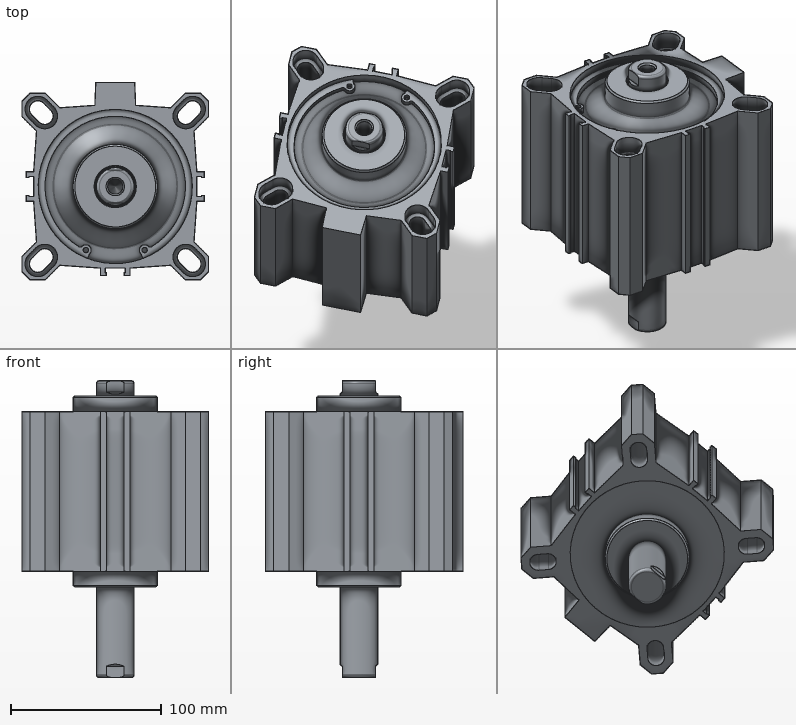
import cadquery as cq
import math


body_height = 106.0
body_width = 124.0
length_with_port = 131.0
corner_reach = body_width / 2
corner_chamfer_start = 56.5
post_inner_edge = 46.5
post_root_along = 36.8
post_root_out = corner_reach - (post_inner_edge - post_root_along)
wall_out = 54.2
bore_dia = 102.2
root_overlap = 2.0

rail_outer = 9.8
rail_inner = 6.5
hook_inner = 6.0
rail_out = 59.1
hook_depth = 2.0
rail_sides = (90, 180, 270)

port_out = length_with_port - corner_reach
port_tip_half = 13.0
port_root_half = 13.5

slot_offset = 49.0
slot_width = 11.0
slot_spacing = 6.5
counterbore_width = 17.0
counterbore_depth = 11.0

ring_depth = 5.0
ring_thickness = 4.0
ring_inner_dia = 93.2
gap_half_angle = 21.0
ear_radius = 3.5
ear_hole_dia = 3.5
ear_hole_x = 19.5
ear_hole_y = -42.2
ear_blend_radius = 1.5

flange_thickness = 19.7
boss_dia = 56.0
boss_height = 10.5
boss_chamfer = 1.2
top_flange_z = body_height - ring_depth - ring_thickness
cone_base_dia = 82.1
cone_top_drop = 1.8
cone_fillet = 1.0
recess_dia = 27.0
recess_mouth_dia = 28.0
recess_depth = 3.0
rod_hole_dia = 25.6
edge_margin = 0.2

rod_dia = 25.0
rod_top_reach = 10.0
rod_bottom_reach = 60.0
rod_fillet = 2.0
flat_distance = 22.0
flat_length = 7.5
thread_hole_dia = 10.0
thread_mouth_dia = 12.2
thread_hole_depth = 19.7
drill_tip_angle = 118.0

rod_top_z = body_height + boss_height + rod_top_reach
rod_bottom_z = -boss_height - rod_bottom_reach


def revolve_profile(points):
    """Solid of revolution about Z from (radius, z) points."""
    return cq.Workplane("XZ").polyline(points).close().revolve(360, (0, 0, 0), (0, 1, 0))


def cylinder(diameter, bottom_z, height):
    return cq.Workplane("XY").workplane(offset=bottom_z).circle(diameter / 2).extrude(height)


def body_outline():
    """Four sides, each running from one corner post to the next, as a closed outline."""
    side = [
        (-corner_chamfer_start, corner_reach),
        (-post_inner_edge, corner_reach),
        (-post_root_along, post_root_out),
        (-rail_outer, wall_out),
        (rail_outer, wall_out),
        (post_root_along, post_root_out),
        (post_inner_edge, corner_reach),
        (corner_chamfer_start, corner_reach),
    ]
    points = []
    for _ in range(4):
        points += side
        side = [(y, -x) for x, y in side]
    return points


def make_rail_pair():
    """Two mirrored hooked rails on the +Y side."""
    half = [
        (rail_outer, wall_out - root_overlap),
        (rail_outer, rail_out),
        (hook_inner, rail_out),
        (hook_inner, rail_out - hook_depth),
        (rail_inner, rail_out - hook_depth),
        (rail_inner, wall_out - root_overlap),
    ]
    rail = cq.Workplane("XY").polyline(half).close().extrude(body_height)
    return rail.union(rail.mirror("YZ"))


def make_port_block():
    points = [
        (-port_root_half, wall_out - root_overlap),
        (-port_root_half, wall_out),
        (-port_tip_half, port_out),
        (port_tip_half, port_out),
        (port_root_half, wall_out),
        (port_root_half, wall_out - root_overlap),
    ]
    return cq.Workplane("XY").polyline(points).close().extrude(body_height)


def cut_mounting_slots(body, width, bottom_z):
    """Slots in the four posts, open at the top, each lying along its corner's diagonal."""
    for x_sign in (-1, 1):
        for y_sign in (-1, 1):
            slot = (
                cq.Workplane("XY")
                .workplane(offset=bottom_z)
                .center(x_sign * slot_offset, y_sign * slot_offset)
                .slot2D(slot_spacing + width, width, 45 * x_sign * y_sign)
                .extrude(body_height - bottom_z)
            )
            body = body.cut(slot)
    return body


def make_housing():
    body = cq.Workplane("XY").polyline(body_outline()).close().extrude(body_height)
    for angle in rail_sides:
        body = body.union(make_rail_pair().rotate((0, 0, 0), (0, 0, 1), angle))
    body = body.union(make_port_block())
    body = cut_mounting_slots(body, slot_width, 0)
    body = cut_mounting_slots(body, counterbore_width, body_height - counterbore_depth)
    return body.cut(cylinder(bore_dia, 0, body_height))


def ring_point(radius, angle, side):
    """Point on the ring's plane, at an angle from -Y toward the given side."""
    return side * radius * math.sin(math.radians(angle)), -radius * math.cos(math.radians(angle))


def blend_corners():
    """(radius, angle) of the two concave corners where an ear meets the rest of the ring."""
    ear_distance = math.hypot(ear_hole_x, ear_hole_y)
    ear_angle = math.degrees(math.atan2(ear_hole_x, -ear_hole_y))
    inner_radius = ring_inner_dia / 2
    cosine = (inner_radius**2 + ear_distance**2 - ear_radius**2) / (2 * inner_radius * ear_distance)
    inner_corner = (inner_radius, ear_angle + math.degrees(math.acos(cosine)))
    turn = math.radians(ear_angle - gap_half_angle)
    end_offset = ear_distance * math.sin(turn)
    end_radius = ear_distance * math.cos(turn) + math.sqrt(ear_radius**2 - end_offset**2)
    return [inner_corner, (end_radius, gap_half_angle)]


def make_retaining_ring():
    bottom_z = top_flange_z
    plane = cq.Workplane("XY").workplane(offset=bottom_z)
    ears = [(-ear_hole_x, ear_hole_y), (ear_hole_x, ear_hole_y)]
    gap_corners = [(0, 0)] + [ring_point(bore_dia, gap_half_angle, side) for side in (-1, 1)]

    gap = plane.polyline(gap_corners).close().extrude(ring_thickness)
    ring = plane.circle(bore_dia / 2).circle(ring_inner_dia / 2).extrude(ring_thickness).cut(gap)
    ring = ring.union(plane.pushPoints(ears).circle(ear_radius).extrude(ring_thickness))

    for side in (-1, 1):
        for radius, angle in blend_corners():
            x, y = ring_point(radius, angle, side)
            corner = cq.selectors.NearestToPointSelector((x, y, bottom_z + ring_thickness / 2))
            ring = ring.edges("|Z").edges(corner).fillet(ear_blend_radius)

    return ring.cut(plane.pushPoints(ears).circle(ear_hole_dia / 2).extrude(ring_thickness))


def make_rod_passage(boss_end_z):
    """Hole for the rod through the top cover, with a recess that widens at its mouth."""
    recess_floor_z = boss_end_z - recess_depth
    mouth_chamfer = (recess_mouth_dia - recess_dia) / 2
    return revolve_profile([
        (0, top_flange_z - flange_thickness),
        (rod_hole_dia / 2, top_flange_z - flange_thickness),
        (rod_hole_dia / 2, recess_floor_z),
        (recess_dia / 2, recess_floor_z),
        (recess_dia / 2, boss_end_z - mouth_chamfer),
        (recess_mouth_dia / 2, boss_end_z),
        (0, boss_end_z),
    ])


def make_top_cover():
    boss_end_z = body_height + boss_height
    cone_top_z = body_height - cone_top_drop
    cover = revolve_profile([
        (0, top_flange_z - flange_thickness),
        (bore_dia / 2, top_flange_z - flange_thickness),
        (bore_dia / 2, top_flange_z),
        (cone_base_dia / 2, top_flange_z),
        (boss_dia / 2, cone_top_z),
        (boss_dia / 2, boss_end_z - boss_chamfer),
        (boss_dia / 2 - boss_chamfer, boss_end_z),
        (0, boss_end_z),
    ])
    for radius, z in ((cone_base_dia / 2, top_flange_z), (boss_dia / 2, cone_top_z)):
        circle = cq.selectors.BoxSelector(
            (-radius - edge_margin, -radius - edge_margin, z - edge_margin),
            (radius + edge_margin, radius + edge_margin, z + edge_margin),
            boundingbox=True,
        )
        cover = cover.edges("%CIRCLE").edges(circle).fillet(cone_fillet)
    return cover.cut(make_rod_passage(boss_end_z))


def make_bottom_cover():
    """Flange flush with the housing's bottom face, and a boss below it."""
    return revolve_profile([
        (rod_dia / 2, flange_thickness),
        (bore_dia / 2, flange_thickness),
        (bore_dia / 2, 0),
        (boss_dia / 2, 0),
        (boss_dia / 2, boss_chamfer - boss_height),
        (boss_dia / 2 - boss_chamfer, -boss_height),
        (rod_dia / 2, -boss_height),
    ])


def make_flat_cutter(side):
    """Removes one wrench flat at the top end; its lower end runs out at 45 degrees."""
    flat_y = flat_distance / 2
    clear_y = rod_dia
    flat_end_z = rod_top_z - flat_length
    points = [
        (side * flat_y, rod_top_z),
        (side * flat_y, flat_end_z),
        (side * clear_y, flat_end_z - (clear_y - flat_y)),
        (side * clear_y, rod_top_z),
    ]
    return cq.Workplane("YZ").polyline(points).close().extrude(rod_dia / 2, both=True)


def make_thread_hole():
    """Drilled hole in the top end, with a chamfered mouth and a conical bottom."""
    hole_radius = thread_hole_dia / 2
    mouth_radius = thread_mouth_dia / 2
    floor_z = rod_top_z - thread_hole_depth
    tip_height = hole_radius / math.tan(math.radians(drill_tip_angle / 2))
    return revolve_profile([
        (0, floor_z - tip_height),
        (hole_radius, floor_z),
        (hole_radius, rod_top_z - (mouth_radius - hole_radius)),
        (mouth_radius, rod_top_z),
        (0, rod_top_z),
    ])


def make_rod():
    """Rod whose two ends have the same flats."""
    rod = cylinder(rod_dia, rod_bottom_z, rod_top_z - rod_bottom_z).edges("%CIRCLE").fillet(rod_fillet)
    middle = (0, 0, (rod_top_z + rod_bottom_z) / 2)
    for side in (-1, 1):
        cutter = make_flat_cutter(side)
        rod = rod.cut(cutter).cut(cutter.mirror("XY", middle))
    return rod.cut(make_thread_hole())


housing = make_housing()
top_cover = make_top_cover()
bottom_cover = make_bottom_cover()
retaining_ring = make_retaining_ring()
rod = make_rod()

result = cq.Compound.makeCompound([
    housing.val(),
    top_cover.val(),
    bottom_cover.val(),
    retaining_ring.val(),
    rod.val(),
])